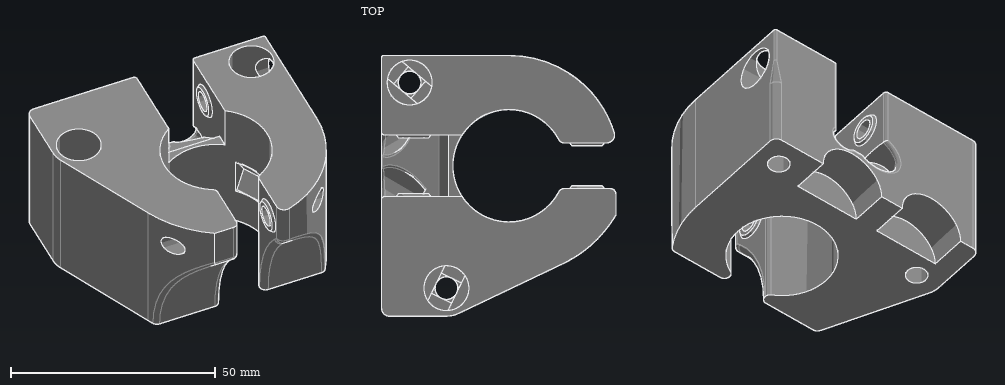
import cadquery as cq
import math

LENGTH_X = 57.45
LENGTH_Y = 63.9
HEIGHT = 37.4

UPPER_ARC_R = 27.0
BORE_R = 13.75
BORE_X = 31.25
BORE_Y = LENGTH_Y - UPPER_ARC_R

JAW_GAP = 11.1
SLOT_WIDTH = 15.1
JAW_TOP_Y = BORE_Y + JAW_GAP / 2
JAW_BOTTOM_Y = BORE_Y - JAW_GAP / 2
SLOT_TOP_Y = BORE_Y + SLOT_WIDTH / 2
SLOT_BOTTOM_Y = BORE_Y - SLOT_WIDTH / 2

LOWER_ARC_SHIFT = 3.4
LOWER_ARC_R = UPPER_ARC_R + LOWER_ARC_SHIFT
LOWER_ARC_Y = BORE_Y + LOWER_ARC_SHIFT
SCREW_CORNER_R = 6.9

CORNER_R = 2.0
TOP_CORNER_R = 0.5
TOP_CORNER_Z = 26.85
LOWER_CORNER_Z = 19.8
JAW_FILLET = 1.5
UPPER_TIP_FILLET = 2.0
UNDERCUT_FILLET = 1.6
MOUTH_FILLET = 0.75

SCREWS = [(6.9, 57.25, -40.0), (15.9, SCREW_CORNER_R, 64.0)]
SCREW_HOLE_R = 2.75
SCREW_HEAD_R = 5.5
SCREW_SEAT_Z = 10.0
SEAT_STEP = 0.3

CLAMP_Z = 29.9
BACK_CLAMP_X = 7.85
JAW_CLAMP_X = 50.35
CLAMP_HOLE_R = 2.55
CLAMP_HEAD_R = SCREW_HEAD_R
CLAMP_HEAD_DEPTH = 10.0
CLAMP_BLIND_DEPTH = 12.8
PAD_BASE_R = 4.3
PAD_TIP_R = 3.7
PAD_HEIGHT = 0.7

FLOOR_Z = 25.55
FLOOR_ARC_R = 9.65
RAMP_ANGLE = math.radians(40)

HOLE_SLANT = math.radians(30)
WIDE_HOLE_R = 5.55
WIDE_HOLE_DEPTH = 10.0
WIDE_HOLE_Y = 32.3
WIDE_HOLE_Z = 15.15
CORE_HOLE_R = 2.5
CORE_HOLE_DEPTH = 2 * WIDE_HOLE_DEPTH
NARROW_HOLE_R = 2.75
NARROW_HOLE_DEPTH = CORE_HOLE_DEPTH
NARROW_HOLE_Y = 41.4
NARROW_HOLE_Z = 13.0

HEX_FLATS = 9.85
HEX_DEPTH = 8.95
HEX_FLOOR_X = 30.3
HEX_FLOOR_Y = 49.0

UNDERCUT_R = 37.3
UNDERCUT_X = 46.5
POCKET_R = 9.15
POCKET_DEPTH = 10.0
POCKET_YS = (14.95, 39.7)

MARGIN = 0.65


def cylinder(radius, length, origin, direction):
    return cq.Workplane(cq.Solid.makeCylinder(radius, length, cq.Vector(*origin), cq.Vector(*direction)))


def block(x0, x1, y0, y1, z0, z1):
    return cq.Workplane(cq.Solid.makeBox(x1 - x0, y1 - y0, z1 - z0, cq.Vector(x0, y0, z0)))


def inside(x0, x1, y0, y1, z0=-MARGIN, z1=HEIGHT + MARGIN):
    """Selector for edges whose centre lies in the given box."""
    return cq.selectors.BoxSelector((x0, y0, z0), (x1, y1, z1))


def outline():
    """Plan outline extruded to full height."""
    screw_x = SCREWS[1][0]
    dx = BORE_X - screw_x
    dy = LOWER_ARC_Y - SCREW_CORNER_R
    slope = math.acos((LOWER_ARC_R - SCREW_CORNER_R) / math.hypot(dx, dy)) - math.atan2(dx, dy)

    def on_arc(x, y, radius, angle):
        return (x + radius * math.sin(angle), y - radius * math.cos(angle))

    tip_angle = math.asin((LENGTH_X - BORE_X) / LOWER_ARC_R)
    jaw_angle = math.pi - math.acos(JAW_GAP / 2 / UPPER_ARC_R)
    jaw_corner = on_arc(BORE_X, BORE_Y, UPPER_ARC_R, jaw_angle)
    upper_mid = on_arc(BORE_X, BORE_Y, UPPER_ARC_R, (jaw_angle + math.pi) / 2)
    return (
        cq.Workplane()
        .moveTo(0, 0)
        .lineTo(0, LENGTH_Y)
        .lineTo(BORE_X, LENGTH_Y)
        .threePointArc(upper_mid, jaw_corner)
        .lineTo(LENGTH_X, JAW_BOTTOM_Y)
        .lineTo(*on_arc(BORE_X, LOWER_ARC_Y, LOWER_ARC_R, tip_angle))
        .threePointArc(
            on_arc(BORE_X, LOWER_ARC_Y, LOWER_ARC_R, (tip_angle + slope) / 2),
            on_arc(BORE_X, LOWER_ARC_Y, LOWER_ARC_R, slope),
        )
        .lineTo(*on_arc(screw_x, SCREW_CORNER_R, SCREW_CORNER_R, slope))
        .threePointArc(on_arc(screw_x, SCREW_CORNER_R, SCREW_CORNER_R, slope / 2), (screw_x, 0))
        .close()
        .extrude(HEIGHT)
    )


def back_slot():
    """Slot behind the bore; its ramp stops short where the lower half of the narrow hole begins."""

    def on_floor_arc(angle):
        return (BACK_CLAMP_X + FLOOR_ARC_R * math.sin(angle), CLAMP_Z - FLOOR_ARC_R * math.cos(angle))

    ramp_top = on_floor_arc(RAMP_ANGLE)
    floor_angle = math.acos((CLAMP_Z - FLOOR_Z) / FLOOR_ARC_R)
    ramp_z = ramp_top[1] - ramp_top[0] * math.tan(RAMP_ANGLE)
    slot = (
        cq.Workplane("XZ", origin=(0, SLOT_TOP_Y, 0))
        .moveTo(0, ramp_z)
        .lineTo(*ramp_top)
        .threePointArc(on_floor_arc((RAMP_ANGLE + floor_angle) / 2), on_floor_arc(floor_angle))
        .lineTo(BORE_X, FLOOR_Z)
        .lineTo(BORE_X, HEIGHT)
        .lineTo(0, HEIGHT)
        .close()
        .extrude(SLOT_WIDTH)
    )
    return slot.cut(block(0, BACK_CLAMP_X, NARROW_HOLE_Y, SLOT_TOP_Y, 0, NARROW_HOLE_Z))


def corner_rounding():
    """Waste outside the back edge, whose round grows from the top to the lower part."""

    def section(radius, z):
        bulge = radius * (1 - math.sqrt(0.5))
        return (
            cq.Workplane(origin=(0, LENGTH_Y, z))
            .lineTo(0, -radius)
            .threePointArc((bulge, -bulge), (radius, 0))
            .close()
        )

    waste = section(CORNER_R, 0).extrude(LOWER_CORNER_Z)
    waste = waste.union(section(TOP_CORNER_R, TOP_CORNER_Z).extrude(HEIGHT - TOP_CORNER_Z))
    wires = [section(CORNER_R, LOWER_CORNER_Z).val(), section(TOP_CORNER_R, TOP_CORNER_Z).val()]
    return waste.union(cq.Workplane(cq.Solid.makeLoft(wires, True)))


def screw_hole(x, y, turn):
    """Screw hole with a deep head recess and a seat stepped from slot to square to round."""
    head = cylinder(SCREW_HEAD_R, HEIGHT, (x, y, SCREW_SEAT_Z), (0, 0, 1))
    across = 2 * SCREW_HOLE_R
    slot_z = SCREW_SEAT_Z - SEAT_STEP
    slot = (
        cq.Workplane(origin=(x, y, slot_z))
        .transformed(rotate=(0, 0, turn))
        .rect(3 * SCREW_HEAD_R, across)
        .extrude(SEAT_STEP)
        .intersect(cylinder(SCREW_HEAD_R, SEAT_STEP, (x, y, slot_z), (0, 0, 1)))
    )
    square = (
        cq.Workplane(origin=(x, y, slot_z - SEAT_STEP))
        .transformed(rotate=(0, 0, turn))
        .rect(across, across)
        .extrude(SEAT_STEP)
    )
    return cylinder(SCREW_HOLE_R, HEIGHT, (x, y, 0), (0, 0, 1)).union(head).union(slot).union(square)


def pad(x, y, toward):
    """Tapered disc standing off an arm face."""
    centre = cq.Vector(x, y, CLAMP_Z)
    axis = cq.Vector(0, toward, 0)
    return cq.Workplane(cq.Solid.makeCone(PAD_BASE_R, PAD_TIP_R, PAD_HEIGHT, centre, axis))


def slanted_hole(radius, depth, y, z, side):
    """Level hole entering the back face at (y, z), turned toward +Y (side 1) or -Y (side -1)."""
    along_x = math.cos(HOLE_SLANT)
    along_y = side * math.sin(HOLE_SLANT)
    lead = 2 * radius
    return cylinder(radius, depth + lead, (-lead * along_x, y - lead * along_y, z), (along_x, along_y, 0))


def hex_recess():
    """Hexagon with level flats, open to the bore and ending on an upright floor."""
    outward = (-math.cos(HOLE_SLANT), -math.sin(HOLE_SLANT), 0)
    level = (-outward[1], outward[0], 0)
    floor = cq.Plane(origin=(HEX_FLOOR_X, HEX_FLOOR_Y, WIDE_HOLE_Z), xDir=level, normal=outward)
    across_corners = HEX_FLATS / math.cos(math.pi / 6)
    return cq.Workplane(floor).polygon(6, across_corners).extrude(HEX_DEPTH)


def cut_jaws(part):
    """Bore, jaw gap and the curved undercut below the jaw tips, with their rounded edges."""
    part = part.cut(cylinder(BORE_R, HEIGHT, (BORE_X, BORE_Y, 0), (0, 0, 1)))
    part = part.cut(block(BORE_X, LENGTH_X + MARGIN, JAW_BOTTOM_Y, JAW_TOP_Y, 0, HEIGHT))
    upper_tip = inside(JAW_CLAMP_X, LENGTH_X + MARGIN, BORE_Y, JAW_TOP_Y + MARGIN)
    part = part.edges("|Z").edges(upper_tip).fillet(UPPER_TIP_FILLET)
    jaw_corners = inside(BORE_X, LENGTH_X + MARGIN, JAW_BOTTOM_Y - MARGIN, JAW_TOP_Y + MARGIN)
    part = part.edges("|Z").edges(jaw_corners).fillet(JAW_FILLET)
    part = part.cut(cylinder(UNDERCUT_R, LENGTH_Y, (UNDERCUT_X + UNDERCUT_R, 0, 0), (0, 1, 0)))
    undercut_sides = inside(UNDERCUT_X + MARGIN, JAW_CLAMP_X + MARGIN, 0, LENGTH_Y, MARGIN, FLOOR_Z)
    return part.edges(undercut_sides).fillet(UNDERCUT_FILLET)


def cut_slot_mouth(part):
    """Back slot and slanted holes, rounded at the back face and where the holes meet the ramp."""
    part = part.cut(back_slot())
    part = part.cut(slanted_hole(WIDE_HOLE_R, WIDE_HOLE_DEPTH, WIDE_HOLE_Y, WIDE_HOLE_Z, -1))
    part = part.cut(slanted_hole(NARROW_HOLE_R, NARROW_HOLE_DEPTH, NARROW_HOLE_Y, NARROW_HOLE_Z, 1))
    mouth_bottom = NARROW_HOLE_Z - 2 * NARROW_HOLE_R
    mouth = inside(-MARGIN, MARGIN, WIDE_HOLE_Y - WIDE_HOLE_R, LENGTH_Y - MARGIN, mouth_bottom, HEIGHT - MARGIN)
    hole_rims = inside(
        MARGIN, BACK_CLAMP_X, SLOT_BOTTOM_Y + MARGIN, SLOT_TOP_Y - MARGIN, mouth_bottom, HEIGHT - MARGIN
    )
    part = part.edges(mouth + hole_rims).fillet(MOUTH_FILLET)
    return part.cut(slanted_hole(CORE_HOLE_R, CORE_HOLE_DEPTH, WIDE_HOLE_Y, WIDE_HOLE_Z, -1))


def add_clamp_screws(part):
    """Pads facing each other across both gaps, with a through hole and a blind headed hole."""
    for x, low_y, high_y in [
        (BACK_CLAMP_X, SLOT_BOTTOM_Y, SLOT_TOP_Y),
        (JAW_CLAMP_X, JAW_BOTTOM_Y, JAW_TOP_Y),
    ]:
        part = part.union(pad(x, low_y, 1)).union(pad(x, high_y, -1))
    blind_end_y = SLOT_BOTTOM_Y - CLAMP_BLIND_DEPTH
    part = part.cut(cylinder(CLAMP_HOLE_R, LENGTH_Y, (JAW_CLAMP_X, 0, CLAMP_Z), (0, 1, 0)))
    part = part.cut(cylinder(CLAMP_HOLE_R, LENGTH_Y, (BACK_CLAMP_X, blind_end_y, CLAMP_Z), (0, 1, 0)))
    head = cylinder(CLAMP_HEAD_R, CLAMP_HEAD_DEPTH, (BACK_CLAMP_X, LENGTH_Y, CLAMP_Z), (0, -1, 0))
    return part.cut(head)


result = outline().edges("|Z and <X and <Y").fillet(CORNER_R)
result = cut_jaws(result)
result = cut_slot_mouth(result)
result = result.cut(corner_rounding()).cut(hex_recess())
for pocket_y in POCKET_YS:
    result = result.cut(cylinder(POCKET_R, POCKET_DEPTH, (0, pocket_y, 0), (1, 0, 0)))
for screw_x, screw_y, seat_turn in SCREWS:
    result = result.cut(screw_hole(screw_x, screw_y, seat_turn))
result = add_clamp_screws(result)